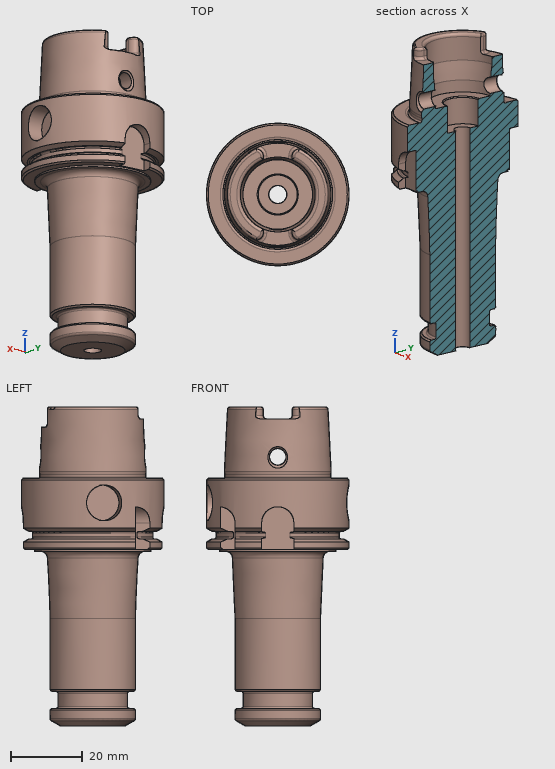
import cadquery as cq
import math


SHANK_LENGTH = 20.0
TAPER_RATIO = 1 / 9.98
TAPER_BASE_R = 15.0
TAPER_BASE_Z = 1.9
UNDERCUT_R = 29.8 / 2
UNDERCUT_TOP_Z = 1.1
UNDERCUT_ROUND = 0.5
UNDERCUT_DEPTH = 0.2
FACE_RELIEF_R = 16.1
RIM_FILLET = 0.75

FLANGE_R = 20.0
FLANGE_LENGTH = 20.0
FLANGE_CHAMFER = 0.5
VEE_CENTER_Z = -15.95
VEE_HALF_WIDTH = 1.95
VEE_FLANK_END_R = 18.4
VEE_BOTTOM_R = 17.3
VEE_BOTTOM_FILLET = 0.45
VEE_FLANK_ANGLE = 30.0
STEP_R = 16.3
STEP_HEIGHT = 0.5

NOSE_LENGTH = 69.5
NECK_TOP_R = 25.5 / 2
NOSE_R = 12.0
NOSE_FILLET = 1.9
CONE_END_Z = -39.4
GROOVE_TOP_Z = -59.8
GROOVE_BOTTOM_Z = -64.5
GROOVE_R = 19.5 / 2
GROOVE_FILLET = 0.5
NOSE_CHAMFER = 0.5
END_CONE_HEIGHT = 1.7
END_CONE_ANGLE = 30.0
END_FILLET = 0.8

MOUTH_R = 21.0 / 2
MOUTH_FILLET = 1.0
MOUTH_END_Z = 12.1
CHAMBER_R = 19.5 / 2
CHAMBER_CONE_END_Z = 6.5
CHAMBER_FLOOR_Z = 3.0
THREAD_R = 10.92 / 2
THREAD_CHAMFER = 0.3
THREAD_DEPTH = 8.0
COOLANT_R = 5.0 / 2

DRIVE_WIDTH = 8.05
DRIVE_SHOULDER_Y = 12.75
DRIVE_CORNER_R = 2.0
DRIVE_FLOOR_FILLET = 0.95
DRIVE_FRONT_DEPTH = 3.35
DRIVE_BACK_DEPTH = 5.7

ACCESS_HOLE_R = 4.6 / 2
ACCESS_HOLE_CHAMFER_R = 3.0
ACCESS_HOLE_Z = 6.0

KEYWAY_WIDTH = 9.0
KEYWAY_TOP_Z = -8.0
KEYWAY_FLOOR_Y = 16.95
NOTCH_WALL_X = -12.0
NOTCH_FLOOR_Y = -12.0
POCKET_R = 10.0 / 2
POCKET_Z = -6.9
POCKET_FLOOR_DISTANCE = 14.5
POCKET_ANGLES = (0.0, 189.5)

CLEARANCE = 5.0


def tan(degrees):
    return math.tan(math.radians(degrees))


def taper_radius(z):
    return TAPER_BASE_R - (z - TAPER_BASE_Z) * TAPER_RATIO / 2


def make_body():
    """Turned outside: shank, flange with vee groove, nose with grip groove."""
    rim_r = taper_radius(SHANK_LENGTH) - RIM_FILLET
    rim_z = SHANK_LENGTH - RIM_FILLET
    rim_offset = RIM_FILLET * (1 - math.sqrt(0.5))
    undercut_offset = UNDERCUT_ROUND * (1 - math.sqrt(0.5))
    flank_height = (FLANGE_R - VEE_FLANK_END_R) * tan(VEE_FLANK_ANGLE)
    relief_half_width = VEE_HALF_WIDTH - flank_height
    relief_top_z = VEE_CENTER_Z + relief_half_width
    relief_bottom_z = VEE_CENTER_Z - relief_half_width
    step_z = -FLANGE_LENGTH - STEP_HEIGHT
    arc_offset = NOSE_FILLET * (1 - math.sqrt(0.5))
    end_cone_z = -NOSE_LENGTH + END_CONE_HEIGHT
    end_r = NOSE_R - END_CONE_HEIGHT / tan(END_CONE_ANGLE)
    profile = (
        cq.Workplane("XZ")
        .moveTo(0, SHANK_LENGTH)
        .lineTo(rim_r, SHANK_LENGTH)
        .threePointArc(
            (taper_radius(SHANK_LENGTH) - rim_offset, SHANK_LENGTH - rim_offset),
            (taper_radius(rim_z), rim_z),
        )
        .lineTo(TAPER_BASE_R, TAPER_BASE_Z)
        .lineTo(UNDERCUT_R, UNDERCUT_TOP_Z)
        .lineTo(UNDERCUT_R, UNDERCUT_ROUND - UNDERCUT_DEPTH)
        .threePointArc(
            (UNDERCUT_R + undercut_offset, undercut_offset - UNDERCUT_DEPTH),
            (UNDERCUT_R + UNDERCUT_ROUND, -UNDERCUT_DEPTH),
        )
        .lineTo(FACE_RELIEF_R, 0)
        .lineTo(FLANGE_R - FLANGE_CHAMFER, 0)
        .lineTo(FLANGE_R, -FLANGE_CHAMFER)
        .lineTo(FLANGE_R, VEE_CENTER_Z + VEE_HALF_WIDTH)
        .lineTo(VEE_FLANK_END_R, relief_top_z)
        .lineTo(VEE_BOTTOM_R, relief_top_z)
        .lineTo(VEE_BOTTOM_R, relief_bottom_z)
        .lineTo(VEE_FLANK_END_R, relief_bottom_z)
        .lineTo(FLANGE_R, VEE_CENTER_Z - VEE_HALF_WIDTH)
        .lineTo(FLANGE_R, -FLANGE_LENGTH + FLANGE_CHAMFER)
        .lineTo(FLANGE_R - FLANGE_CHAMFER, -FLANGE_LENGTH)
        .lineTo(STEP_R, -FLANGE_LENGTH)
        .lineTo(STEP_R, step_z)
        .lineTo(NECK_TOP_R + NOSE_FILLET, step_z)
        .threePointArc((NECK_TOP_R + arc_offset, step_z - arc_offset), (NECK_TOP_R, step_z - NOSE_FILLET))
        .lineTo(NOSE_R, CONE_END_Z)
        .lineTo(NOSE_R, GROOVE_TOP_Z + NOSE_CHAMFER)
        .lineTo(NOSE_R - NOSE_CHAMFER, GROOVE_TOP_Z)
        .lineTo(GROOVE_R, GROOVE_TOP_Z)
        .lineTo(GROOVE_R, GROOVE_BOTTOM_Z)
        .lineTo(NOSE_R - NOSE_CHAMFER, GROOVE_BOTTOM_Z)
        .lineTo(NOSE_R, GROOVE_BOTTOM_Z - NOSE_CHAMFER)
        .lineTo(NOSE_R, end_cone_z)
        .lineTo(end_r, -NOSE_LENGTH)
        .lineTo(0, -NOSE_LENGTH)
        .close()
    )
    body = profile.revolve(360, (0, 0, 0), (0, 1, 0))
    for z in (relief_top_z, relief_bottom_z):
        body = body.edges(ring_at(VEE_BOTTOM_R, z)).fillet(VEE_BOTTOM_FILLET)
    for z in (GROOVE_TOP_Z, GROOVE_BOTTOM_Z):
        body = body.edges(ring_at(GROOVE_R, z)).fillet(GROOVE_FILLET)
    return body.edges(ring_at(NOSE_R, end_cone_z)).fillet(END_FILLET)


def ring_at(radius, z):
    """Selects the circular edge of the given radius at height z."""
    tolerance = 0.01
    low = (-radius - tolerance, -radius - tolerance, z - tolerance)
    high = (radius + tolerance, radius + tolerance, z + tolerance)
    return cq.selectors.BoxSelector(low, high, boundingbox=True)


def make_bore():
    """Stepped clamping bore, thread bore and coolant hole."""
    mouth_offset = MOUTH_FILLET * (1 - math.sqrt(0.5))
    thread_end_z = CHAMBER_FLOOR_Z - THREAD_DEPTH
    return (
        cq.Workplane("XZ")
        .moveTo(0, SHANK_LENGTH)
        .lineTo(MOUTH_R + MOUTH_FILLET, SHANK_LENGTH)
        .threePointArc(
            (MOUTH_R + mouth_offset, SHANK_LENGTH - mouth_offset),
            (MOUTH_R, SHANK_LENGTH - MOUTH_FILLET),
        )
        .lineTo(MOUTH_R, MOUTH_END_Z)
        .lineTo(CHAMBER_R, CHAMBER_CONE_END_Z)
        .lineTo(CHAMBER_R, CHAMBER_FLOOR_Z)
        .lineTo(THREAD_R + THREAD_CHAMFER, CHAMBER_FLOOR_Z)
        .lineTo(THREAD_R, CHAMBER_FLOOR_Z - THREAD_CHAMFER)
        .lineTo(THREAD_R, thread_end_z)
        .lineTo(COOLANT_R, thread_end_z)
        .lineTo(COOLANT_R, -NOSE_LENGTH)
        .lineTo(0, -NOSE_LENGTH)
        .close()
        .revolve(360, (0, 0, 0), (0, 1, 0))
    )


def make_drive_slot(depth):
    """Cutter for the slot on the +Y side, flaring round the wall ends, with rounded edges."""
    half = DRIVE_WIDTH / 2
    flare_x = half + DRIVE_CORNER_R
    flare_y = DRIVE_SHOULDER_Y - DRIVE_CORNER_R
    offset = DRIVE_CORNER_R * (1 - math.sqrt(0.5))
    mid_x = half + offset
    mid_y = DRIVE_SHOULDER_Y - offset
    slot = (
        cq.Workplane("XY", origin=(0, 0, SHANK_LENGTH - depth))
        .moveTo(-half, 0)
        .lineTo(half, 0)
        .lineTo(half, flare_y)
        .threePointArc((mid_x, mid_y), (flare_x, DRIVE_SHOULDER_Y))
        .lineTo(FLANGE_R, DRIVE_SHOULDER_Y)
        .lineTo(FLANGE_R, FLANGE_R)
        .lineTo(-FLANGE_R, FLANGE_R)
        .lineTo(-FLANGE_R, DRIVE_SHOULDER_Y)
        .lineTo(-flare_x, DRIVE_SHOULDER_Y)
        .threePointArc((-mid_x, mid_y), (-half, flare_y))
        .close()
        .extrude(depth)
    )
    lip_height = 2 * RIM_FILLET
    plate = (
        cq.Workplane("XY", origin=(0, FLANGE_R / 2, SHANK_LENGTH - lip_height))
        .rect(2 * FLANGE_R, FLANGE_R)
        .extrude(lip_height)
    )
    rounded_walls = plate.cut(slot).faces(">Z").edges("not <Y").fillet(RIM_FILLET)
    slot = slot.faces("<Z").edges().fillet(DRIVE_FLOOR_FILLET)
    return slot.union(plate.cut(rounded_walls))


def make_access_holes():
    """Cross hole through both shank walls along Y, countersunk outside."""
    wall_r = taper_radius(ACCESS_HOLE_Z)
    plane = cq.Workplane("XZ", origin=(0, 0, ACCESS_HOLE_Z))
    hole = plane.circle(ACCESS_HOLE_R).extrude(FLANGE_R, both=True)
    sink_depth = ACCESS_HOLE_CHAMFER_R - ACCESS_HOLE_R
    for side in (1, -1):
        sink = cq.Solid.makeCone(
            ACCESS_HOLE_CHAMFER_R + sink_depth,
            ACCESS_HOLE_R,
            2 * sink_depth,
            pnt=cq.Vector(0, side * (wall_r + sink_depth), ACCESS_HOLE_Z),
            dir=cq.Vector(0, -side, 0),
        )
        hole = hole.union(cq.Workplane(sink))
    return hole


def make_keyway(center_x, floor_y, side):
    """Round-topped keyway cut along Y, open at the flange underside; side is +1 for +Y."""
    radius = KEYWAY_WIDTH / 2
    bottom_z = -FLANGE_LENGTH
    height = KEYWAY_TOP_Z - radius - bottom_z
    length = side * (FLANGE_R + CLEARANCE) - floor_y
    plane = cq.Workplane("XZ", origin=(center_x, floor_y, 0))
    straight = plane.center(0, bottom_z + height / 2).rect(KEYWAY_WIDTH, height).extrude(-length)
    top = plane.center(0, KEYWAY_TOP_Z - radius).circle(radius).extrude(-length)
    return straight.union(top)


def make_pocket(angle):
    """Round blind pocket cut radially into the flange."""
    return (
        cq.Workplane("YZ", origin=(POCKET_FLOOR_DISTANCE, 0, 0))
        .center(0, POCKET_Z)
        .circle(POCKET_R)
        .extrude(FLANGE_R - POCKET_FLOOR_DISTANCE + CLEARANCE)
        .rotate((0, 0, 0), (0, 0, 1), angle)
    )


result = make_body().cut(make_bore())
result = result.cut(make_drive_slot(DRIVE_BACK_DEPTH))
result = result.cut(make_drive_slot(DRIVE_FRONT_DEPTH).mirror("XZ"))
result = result.cut(make_access_holes())
for side in (1, -1):
    result = result.cut(make_keyway(0, side * KEYWAY_FLOOR_Y, side))
result = result.cut(make_keyway(NOTCH_WALL_X - KEYWAY_WIDTH / 2, NOTCH_FLOOR_Y, -1))
for angle in POCKET_ANGLES:
    result = result.cut(make_pocket(angle))